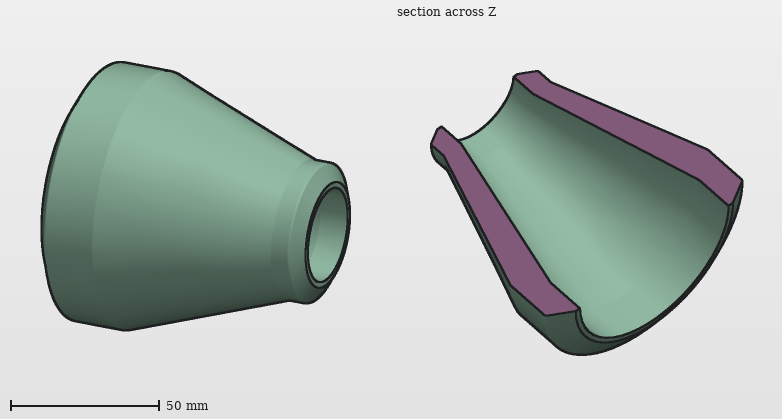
import cadquery as cq
import math

length = 90.0
large_outer_radius = 88.9 / 2
large_bore_radius = 66.9 / 2
small_outer_radius = 48.3 / 2
small_bore_radius = 32.3 / 2
large_bore_depth = 14.85
large_collar_end = 23.0
small_collar_start = 80.0
land = 2.0
corner_rounding = 1.0
bevel_angle = 30
match_tolerance = 0.01

bevel_slope = math.tan(math.radians(bevel_angle))
large_land_radius = large_bore_radius + land
small_land_radius = small_bore_radius + land
large_bevel_depth = (large_outer_radius - large_land_radius) * bevel_slope
small_bevel_depth = (small_outer_radius - small_land_radius) * bevel_slope

outer_corners = [
    (large_bevel_depth, large_outer_radius),
    (large_collar_end, large_outer_radius),
    (small_collar_start, small_outer_radius),
    (length - small_bevel_depth, small_outer_radius),
]

wall_section = [
    (0, large_land_radius),
    *outer_corners,
    (length, small_land_radius),
    (length, small_bore_radius),
    (small_collar_start, small_bore_radius),
    (large_bore_depth, large_bore_radius),
    (0, large_bore_radius),
]
wall = cq.Workplane("XY").polyline(wall_section).close().revolve(360, (0, 0, 0), (1, 0, 0))


def is_outer_corner(edge):
    """True for a circular edge that lies on one of the outer corners."""
    return any(
        math.isclose(edge.Center().x, x, abs_tol=match_tolerance)
        and math.isclose(edge.radius(), radius, abs_tol=match_tolerance)
        for x, radius in outer_corners
    )


result = wall.edges("%CIRCLE").filter(is_outer_corner).fillet(corner_rounding)